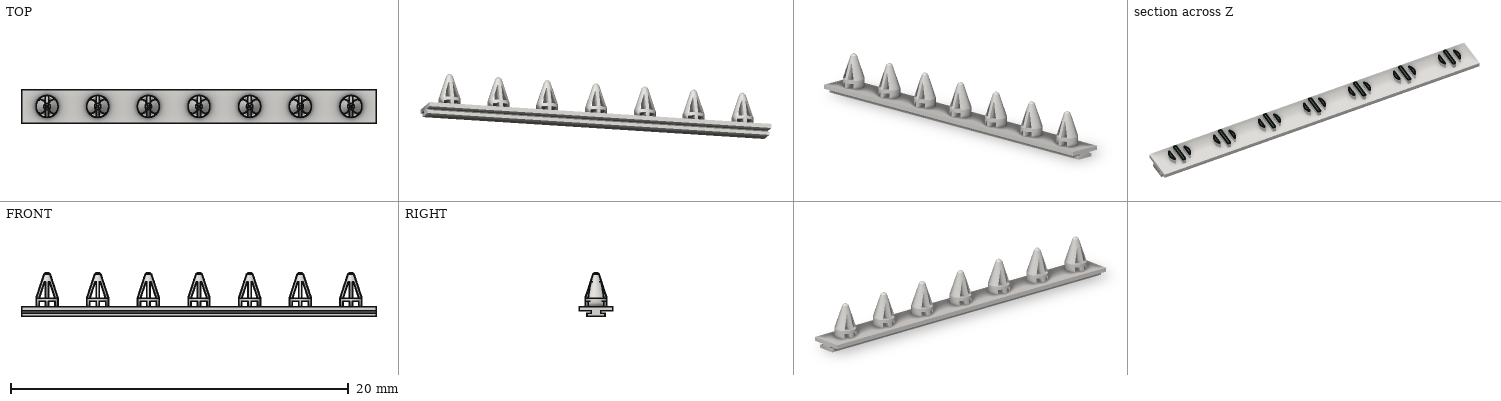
import cadquery as cq

length = 21.0
spike_count = 7
pitch = length / spike_count

plate_width = 2.0
neck_width = 0.59
foot_width = 1.1
foot_top = 0.19
plate_bottom = 0.32
plate_top = 0.57

base_radius = 0.65
shoulder_radius = 0.19
tip_radius = 0.074
ring_bottom = 0.88
ring_top = 1.07
shoulder_height = 2.48
tip_height = 2.58

web_width = 0.2
wall = 0.19
window_top = 2.04


def cone_radius(z):
    """Outer radius of the tapered cone at height z."""
    taper = (base_radius - shoulder_radius) / (shoulder_height - ring_top)
    return base_radius - taper * (z - ring_top)


def make_rail():
    half_profile = [
        (0, 0),
        (foot_width / 2, 0),
        (foot_width / 2, foot_top),
        (neck_width / 2, foot_top),
        (neck_width / 2, plate_bottom),
        (plate_width / 2, plate_bottom),
        (plate_width / 2, plate_top),
        (0, plate_top),
    ]
    return cq.Workplane("YZ").polyline(half_profile).mirrorY().extrude(length / 2, both=True)


def make_windows():
    """Cutters for the slanted upper window and the square lower window on the +X side."""
    inner = web_width / 2
    outer = base_radius - wall
    upper = [
        (inner, ring_top),
        (outer, ring_top),
        (cone_radius(window_top) - wall, window_top),
        (inner, window_top),
    ]
    lower = [
        (inner, plate_top),
        (outer, plate_top),
        (outer, ring_bottom),
        (inner, ring_bottom),
    ]
    cutter = cq.Workplane("XZ").polyline(upper).close().polyline(lower).close()
    return cutter.extrude(base_radius, both=True)


def make_spike():
    profile = [
        (0, plate_top),
        (base_radius, plate_top),
        (base_radius, ring_top),
        (shoulder_radius, shoulder_height),
        (tip_radius, tip_height),
        (0, tip_height),
    ]
    cone = cq.Workplane("XZ").polyline(profile).close().revolve(360, (0, 0), (0, 1))
    windows = make_windows()
    return cone.cut(windows).cut(windows.mirror("YZ"))


result = make_rail()
spike = make_spike()
for index in range(spike_count):
    x = (index - (spike_count - 1) / 2) * pitch
    result = result.union(spike.translate((x, 0, 0)))